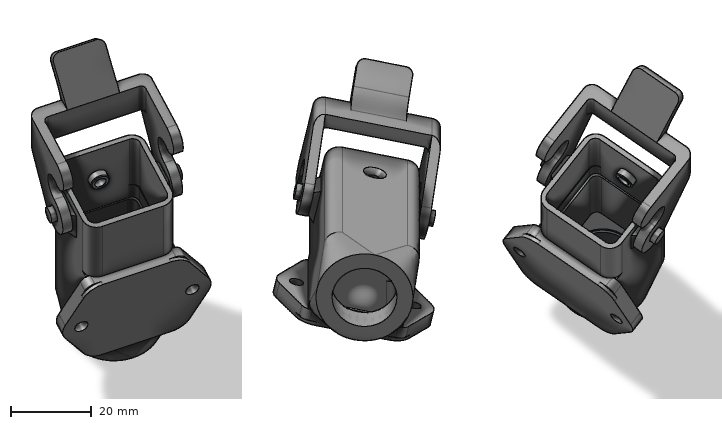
import cadquery as cq
import math

housing_height = 57.0
housing_half = 12.0
housing_corner_radius = 3.8
foot_height = 9.1
foot_flat = 0.01
foot_corner_radius = housing_half - foot_flat

rim_half = 10.7
upper_ledge_half_y = 10.5
upper_ledge_height = 38.6
lower_cavity_half_y = 9.9
lower_cavity_left_x = -10.2
cavity_right_x = 10.5
cavity_corner_radius = 2.0
lower_ledge_height = 33.6
floor_height = 9.2

entry_bottom_diameter = 16.0
entry_top_diameter = 16.5
entry_recess_diameter = 17.7
entry_recess_depth = 0.8

screw_height = 46.2
screw_hole_diameter = 3.0
countersink_diameter = 5.8
boss_diameter = 5.0
boss_end_x = -8.65
boss_chamfer = 0.25

flange_front_x = 10.5
flange_step_x = 13.5
flange_back_x = 14.5
flange_middle_height = 23.0
flange_half_height = 14.0
flange_half_width = 20.0
flange_end_radius = 5.0
flange_slope_angle = 60.0
flange_corner_radius = 3.0
flange_back_corner_radius = 6.05
flange_hole_diameter = 3.5
web_margin = 0.3

pivot_height = 52.05
pin_diameter = 4.0
pin_end_y = 17.6
lug_bottom_height = 45.4
lug_top_height = pivot_height + pin_diameter / 2
lug_half_width = 4.45
lug_bevel = 1.3

lever_half_width = 16.1
arm_thickness = 2.6
bar_thickness = 3.5
lever_back_x = -16.5
lever_bend_radius = 2.6
lever_inner_radius = 1.3
lever_top_height = 73.7
bar_bottom_height = 64.05
pivot_hole_diameter = 4.4
pivot_end_radius = 5.5
notch_radius = 4.0
hook_radius = 4.3
hook_x = 1.7

tab_half_width = 7.05
tab_top_height = 83.95
tab_corner_radius = 2.0
tab_blend_radius = 10.3

arm_inner_y = lever_half_width - arm_thickness
bar_inner_x = lever_back_x + bar_thickness


def box(x0, x1, y0, y1, z0, z1):
    """Axis-aligned box between two opposite corners."""
    return cq.Workplane().box(x1 - x0, y1 - y0, z1 - z0, centered=False).translate((x0, y0, z0))


def rounded_box(x0, x1, half_y, z0, z1, radius):
    """Box symmetric about Y = 0 with rounded vertical edges."""
    return box(x0, x1, -half_y, half_y, z0, z1).edges("|Z").fillet(radius)


def rounded_square_wire(half, radius, height):
    """Horizontal outline of a square with rounded corners."""
    square = cq.Sketch().rect(2 * half, 2 * half).vertices().fillet(radius)
    return cq.Workplane().placeSketch(square).extrude(0.8).faces("<Z").wires().val().translate((0, 0, height))


def cylinder_along_y(diameter, x, z, y0, y1):
    """Cylinder parallel to Y between two Y positions."""
    return cq.Workplane(cq.Solid.makeCylinder(diameter / 2, y1 - y0, cq.Vector(x, y0, z), cq.Vector(0, 1, 0)))


def cylinder_along_x(diameter, y, z, x0, x1):
    """Cylinder parallel to X between two X positions."""
    return cq.Workplane(cq.Solid.makeCylinder(diameter / 2, x1 - x0, cq.Vector(x0, y, z), cq.Vector(1, 0, 0)))




def make_shell():
    """Outer tube with its foot turning from square to round."""
    foot = cq.Solid.makeLoft(
        [
            rounded_square_wire(housing_half, foot_corner_radius, 0),
            rounded_square_wire(housing_half, housing_corner_radius, foot_height),
        ],
        True,
    )
    tube = rounded_box(
        -housing_half, housing_half, housing_half, foot_height, housing_height, housing_corner_radius
    )
    return tube.union(cq.Workplane(foot))


def make_cavity():
    """Square cavity that narrows at two ledges."""
    upper = rounded_box(
        -rim_half, cavity_right_x, rim_half, upper_ledge_height, housing_height, cavity_corner_radius
    )
    middle = rounded_box(
        -rim_half, cavity_right_x, upper_ledge_half_y,
        lower_ledge_height, upper_ledge_height, cavity_corner_radius,
    )
    lower = rounded_box(
        lower_cavity_left_x, cavity_right_x, lower_cavity_half_y,
        floor_height, lower_ledge_height, cavity_corner_radius,
    )
    return upper.union(middle).union(lower)


def make_cable_entry():
    """Slightly tapered hole through the floor, with a shallow recess around its top."""
    recess_bottom = floor_height - entry_recess_depth
    hole = cq.Workplane(cq.Solid.makeCone(entry_bottom_diameter / 2, entry_top_diameter / 2, recess_bottom))
    recess = (
        cq.Workplane()
        .workplane(offset=recess_bottom)
        .circle(entry_recess_diameter / 2)
        .extrude(entry_recess_depth)
    )
    flat_x = entry_bottom_diameter / 2
    flat_limit = box(-housing_half, flat_x, -housing_half, housing_half, 0, floor_height)
    return hole.union(recess.intersect(flat_limit))


def flange_plate(x0, x1, corner_radius):
    """Six-sided plate with round ends in Y, made in the YZ plane."""
    slope = math.radians(flange_slope_angle)
    end_center_y = flange_half_width - flange_end_radius
    point_y = end_center_y + flange_end_radius / math.sin(slope)
    top_y = point_y - flange_half_height / math.tan(slope)
    plate = (
        cq.Workplane("YZ")
        .polyline(
            [
                (point_y, 0),
                (top_y, flange_half_height),
                (-top_y, flange_half_height),
                (-point_y, 0),
                (-top_y, -flange_half_height),
                (top_y, -flange_half_height),
            ]
        )
        .close()
        .extrude(x1 - x0)
    )
    plate = plate.edges("|X and (>Z or <Z)").fillet(corner_radius)
    plate = plate.edges("|X and (>Y or <Y)").fillet(flange_end_radius)
    return plate.translate((x0, 0, flange_middle_height))


def make_flange():
    """Flange in two layers, the back one with rounder corners, and the web that carries it."""
    web_half_height = flange_half_height - web_margin
    web = box(
        0, flange_front_x, -housing_half, housing_half,
        flange_middle_height - web_half_height, flange_middle_height + web_half_height,
    )
    front = flange_plate(flange_front_x, flange_step_x, flange_corner_radius)
    back = flange_plate(flange_step_x, flange_back_x, flange_back_corner_radius)
    flange = web.union(front).union(back)
    hole_y = flange_half_width - flange_end_radius
    for y in (-hole_y, hole_y):
        flange = flange.cut(
            cylinder_along_x(flange_hole_diameter, y, flange_middle_height, flange_front_x, flange_back_x)
        )
    return flange


def lug_outline(inset, y):
    """Upright rectangle of the lug at one Y, drawn in at its bottom and sides."""
    half_width = lug_half_width - inset
    bottom = lug_bottom_height + inset
    corners = [
        (-half_width, bottom),
        (half_width, bottom),
        (half_width, lug_top_height),
        (-half_width, lug_top_height),
    ]
    return cq.Wire.makePolygon([cq.Vector(x, y, z) for x, z in corners], close=True)


def make_pivot():
    """Tapered lug and pin on the -Y side."""
    lug = cq.Solid.makeLoft([lug_outline(0, -housing_half), lug_outline(lug_bevel, -arm_inner_y)], True)
    pin = cylinder_along_y(pin_diameter, 0, pivot_height, -pin_end_y, -arm_inner_y)
    return pin.union(cq.Workplane(lug))


def make_screw_hole():
    """Countersunk hole through the -X wall and its boss."""
    hole = cylinder_along_x(screw_hole_diameter, 0, screw_height, -housing_half, boss_end_x)
    countersink = cq.Solid.makeCone(
        countersink_diameter / 2, screw_hole_diameter / 2, (countersink_diameter - screw_hole_diameter) / 2,
        cq.Vector(-housing_half, 0, screw_height), cq.Vector(1, 0, 0),
    )
    return hole.union(cq.Workplane(countersink))


def make_housing():
    pivot = make_pivot()
    boss = cylinder_along_x(boss_diameter, 0, screw_height, -rim_half, boss_end_x)
    boss = boss.faces(">X").chamfer(boss_chamfer)
    return (
        make_shell()
        .union(make_flange())
        .cut(make_cavity())
        .cut(make_cable_entry())
        .union(pivot)
        .union(pivot.mirror("XZ"))
        .union(boss)
        .cut(make_screw_hole())
    )




def lever_disc(diameter, x, z):
    """Cylinder parallel to Y over the full width of the lever."""
    return cylinder_along_y(diameter, x, z, -lever_half_width, lever_half_width)


def make_arm_profile():
    """Side outline of the lever with hook, notch and round pivot end, through its full width."""
    rise = bar_bottom_height - pivot_height
    distance = math.hypot(lever_back_x, rise)
    angle = math.atan2(rise, lever_back_x) + math.acos(pivot_end_radius / distance)
    tangent_x = pivot_end_radius * math.cos(angle)
    tangent_z = pivot_height + pivot_end_radius * math.sin(angle)
    hook_height = lever_top_height - hook_radius
    hook_bottom = hook_height - hook_radius
    blade = (
        cq.Workplane("XZ")
        .polyline(
            [
                (lever_back_x, lever_top_height),
                (hook_x, lever_top_height),
                (hook_x, hook_bottom),
                (0, hook_bottom),
                (0, pivot_height),
                (tangent_x, tangent_z),
                (lever_back_x, bar_bottom_height),
            ]
        )
        .close()
        .extrude(lever_half_width, both=True)
    )
    notch_height = pivot_height + pivot_end_radius + notch_radius
    return (
        blade.union(lever_disc(2 * hook_radius, hook_x, hook_height))
        .union(lever_disc(2 * pivot_end_radius, 0, pivot_height))
        .cut(lever_disc(2 * notch_radius, 0, notch_height))
        .cut(lever_disc(pivot_hole_diameter, 0, pivot_height))
    )


def make_u_strip():
    """The bar and both arms, as a U seen from above, over the lever's full height."""
    bottom = pivot_height - pivot_end_radius
    front_x = hook_x + hook_radius
    outer = box(lever_back_x, front_x, -lever_half_width, lever_half_width, bottom, lever_top_height)
    inner = box(bar_inner_x, front_x, -arm_inner_y, arm_inner_y, bottom, lever_top_height)
    outer = outer.edges("|Z and <X").fillet(lever_bend_radius)
    inner = inner.edges("|Z and <X").fillet(lever_inner_radius)
    below_bar = box(lever_back_x, front_x, -arm_inner_y, arm_inner_y, bottom, bar_bottom_height)
    return outer.cut(inner).cut(below_bar)


def make_tab():
    """Handle tab at 45 degrees, its underside curving into the outer face of the bar."""
    rise = tab_top_height - lever_top_height
    end_x = bar_inner_x - rise
    end_step = bar_thickness / 2
    tab_angle = math.radians(45)
    half_turn = tab_angle / 2
    tangent = tab_blend_radius * math.tan(half_turn)
    diagonal = tangent * math.cos(tab_angle)
    arc_center_x = lever_back_x - tab_blend_radius
    arc_center_z = lever_top_height - tangent
    arc_middle = (
        arc_center_x + tab_blend_radius * math.cos(half_turn),
        arc_center_z + tab_blend_radius * math.sin(half_turn),
    )
    tab = (
        cq.Workplane("XZ")
        .moveTo(bar_inner_x, lever_top_height)
        .lineTo(end_x, tab_top_height)
        .lineTo(end_x - end_step, tab_top_height - end_step)
        .lineTo(lever_back_x - diagonal, lever_top_height + diagonal)
        .threePointArc(arc_middle, (lever_back_x, arc_center_z))
        .lineTo(bar_inner_x, arc_center_z)
        .close()
        .extrude(tab_half_width, both=True)
    )
    end_face = tab.faces(cq.selectors.DirectionMinMaxSelector(cq.Vector(-1, 0, 1)))
    return end_face.edges("not |Y").fillet(tab_corner_radius)


def make_lever():
    return make_u_strip().intersect(make_arm_profile()).union(make_tab())


housing = make_housing().solids()
lever = make_lever().solids()

result = cq.Compound.makeCompound([housing.val(), lever.val()])